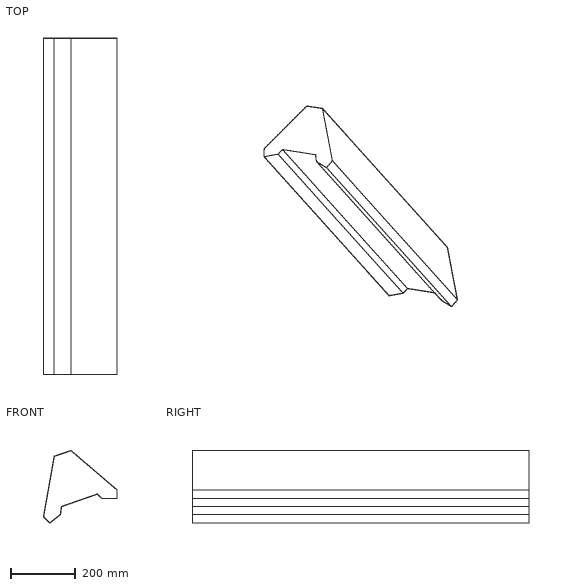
import cadquery as cq

length = 1048.0
width = 229.0
height = 226.0

ridge_left_x = 34.0
ridge_left_z = 209.0
ridge_peak_x = 86.0

right_foot_base_z = 76.0
right_foot_face_height = 27.0
right_foot_base_width = 47.0
right_foot_top_z = right_foot_base_z + right_foot_face_height
right_foot_inner_x = width - right_foot_base_width

left_foot_corner_z = 20.0
left_foot_tip_x = 20.0
left_foot_inner_x = 53.0
left_foot_inner_z = 27.0

channel_left_x = 57.0
channel_left_z = 51.0
channel_right_x = 168.0
channel_right_z = 90.0

profile = [
    (0, left_foot_corner_z),
    (ridge_left_x, ridge_left_z),
    (ridge_peak_x, height),
    (width, right_foot_top_z),
    (width, right_foot_base_z),
    (right_foot_inner_x, right_foot_base_z),
    (channel_right_x, channel_right_z),
    (channel_left_x, channel_left_z),
    (left_foot_inner_x, left_foot_inner_z),
    (left_foot_tip_x, 0),
]

result = cq.Workplane("XZ").polyline(profile).close().extrude(-length)